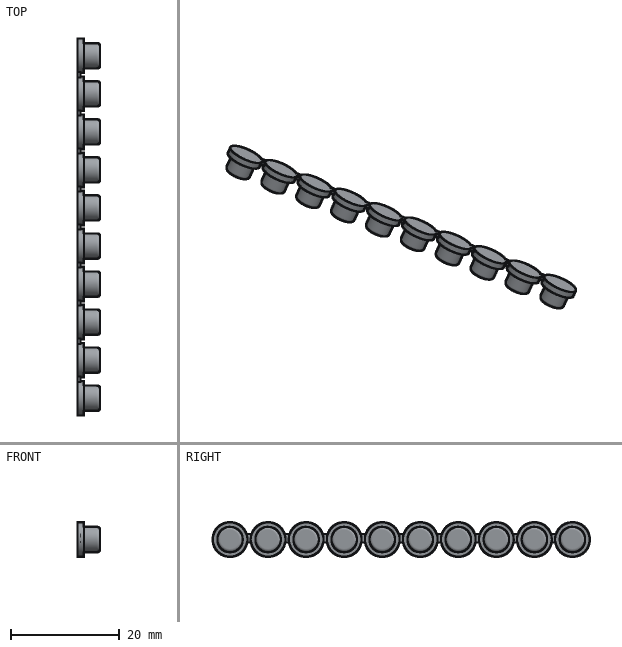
import cadquery as cq

PLUG_COUNT = 10
PLUG_PITCH = 7.0

HEAD_DIAMETER = 6.4
HEAD_THICKNESS = 1.22
PIN_DIAMETER = 4.7
PIN_LENGTH = 3.0
PIN_TIP_RADIUS = 0.6

WEB_THICKNESS = 0.6
WEB_BOTTOM = -0.55
WEB_TOP = 1.05

ROW_SPAN = (PLUG_COUNT - 1) * PLUG_PITCH


def make_plug(y_center):
    """Head disc starting at X = 0, with a round-tipped pin pointing to +X."""
    head = cq.Workplane("YZ").center(y_center, 0).circle(HEAD_DIAMETER / 2).extrude(HEAD_THICKNESS)
    pin = (
        cq.Workplane("YZ", origin=(HEAD_THICKNESS, y_center, 0))
        .circle(PIN_DIAMETER / 2)
        .extrude(PIN_LENGTH)
        .faces(">X")
        .edges()
        .fillet(PIN_TIP_RADIUS)
    )
    return head.union(pin)


def make_web():
    """Thin strip running from the first plug axis to the last one."""
    return cq.Workplane("XY").box(
        WEB_THICKNESS, ROW_SPAN, WEB_TOP - WEB_BOTTOM, centered=(False, True, False)
    ).translate((0, 0, WEB_BOTTOM))


result = make_web()
for index in range(PLUG_COUNT):
    result = result.union(make_plug(index * PLUG_PITCH - ROW_SPAN / 2))